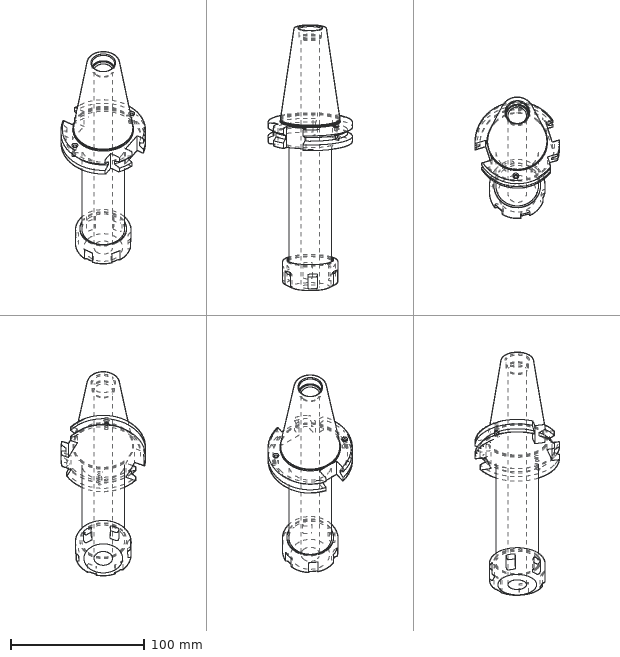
import cadquery as cq
import math

GAUGE_DIAMETER = 44.45
TAPER_LENGTH = 68.4
TAPER_RATIO = 7 / 24
GAUGE_RADIUS = GAUGE_DIAMETER / 2
TIP_RADIUS = GAUGE_RADIUS - TAPER_LENGTH * TAPER_RATIO / 2
TIP_ROUND = 1.0

NECK_RADIUS = 22.15
NECK_TOP = -1.4
NECK_BEVEL = 0.6

FLANGE_RADIUS = 63.55 / 2
FLANGE_TOP = -3.2
FLANGE_BOTTOM = -19.1
FLANGE_ROUND = 1.0
GROOVE_CENTER = -11.1
GROOVE_ROOT_RADIUS = 56.25 / 2
GROOVE_MOUTH_HALF = 3.5
GROOVE_HALF_ANGLE = 30.0

SLOT_WIDTH = 16.1
LEFT_SLOT_FLOOR = 22.3
RIGHT_SLOT_FLOOR = 25.0
NOTCH_OFFSET = 18.2

COOLANT_CIRCLE_RADIUS = 27.0
COOLANT_ANGLES = (70.5, 250.5)
COOLANT_DIAMETER = 2.6
COOLANT_MOUTH_DIAMETER = 4.4
COOLANT_SINK_DEPTH = 0.9
COOLANT_DEPTH = 3.0
COOLANT_MOUTH_CLEARANCE = 2.0

SHANK_RADIUS = 16.0
SHANK_FILLET = 5.0

NUT_BOTTOM = -130.0
NUT_HEIGHT = 20.6
NUT_TOP = NUT_BOTTOM + NUT_HEIGHT
NUT_RADIUS = 21.0
NUT_TOP_ROUND = 2.2
NUT_FACE_RADIUS = 14.5
NUT_CONE_HEIGHT = 3.5
NUT_CONE_ROUND = 2.0
NUT_RECESS_RADIUS = 17.5
NUT_RECESS_DEPTH = 1.0

SPANNER_SLOT_COUNT = 6
SPANNER_FIRST_ANGLE = 30.0
SPANNER_SLOT_WIDTH = 7.0
SPANNER_FLOOR_FILLET = 1.2
SPANNER_SLOT_FLOOR = 18.5
SPANNER_SLOT_HEIGHT = 14.2

TALL_SLOT_INDEX = 2
TALL_SLOT_EXTRA = 1.75

SPANNER_RUNOUT = 3.0
SPANNER_CLEARANCE = 1.0

BORE_DIAMETER = 13.8
COUNTERBORE_DIAMETER = 17.0
COUNTERBORE_DEPTH = 6.5
STEP_DIAMETER = 16.0
STEP_DEPTH = 0.8
COUNTERBORE_CHAMFER = 0.75
BORE_CHAMFER = 1.0

SELECT_MARGIN = 0.01


def revolve(points):
    """Revolve a closed (radius, Z) polygon about the Z axis."""
    return cq.Workplane("XZ").polyline(points).close().revolve(360, (0, 0), (0, 1))


def make_taper():
    neck_joint = GAUGE_RADIUS - NECK_TOP * TAPER_RATIO / 2
    return revolve([
        (0, FLANGE_BOTTOM),
        (NECK_RADIUS + NECK_BEVEL, FLANGE_BOTTOM),
        (NECK_RADIUS + NECK_BEVEL, FLANGE_TOP),
        (NECK_RADIUS, FLANGE_TOP + NECK_BEVEL),
        (NECK_RADIUS, NECK_TOP - NECK_BEVEL),
        (neck_joint, NECK_TOP),
        (TIP_RADIUS, TAPER_LENGTH),
        (0, TAPER_LENGTH),
    ]).faces(">Z").edges().fillet(TIP_ROUND)


def make_flange():
    height = FLANGE_TOP - FLANGE_BOTTOM
    flange = cq.Workplane("XY", origin=(0, 0, FLANGE_BOTTOM)).circle(FLANGE_RADIUS).extrude(height)
    flange = flange.faces("<Z or >Z").edges().fillet(FLANGE_ROUND)
    depth = FLANGE_RADIUS - GROOVE_ROOT_RADIUS
    root_half = GROOVE_MOUTH_HALF - depth * math.tan(math.radians(GROOVE_HALF_ANGLE))
    groove = revolve([
        (GROOVE_ROOT_RADIUS, GROOVE_CENTER - root_half),
        (FLANGE_RADIUS, GROOVE_CENTER - GROOVE_MOUTH_HALF),
        (FLANGE_RADIUS, GROOVE_CENTER + GROOVE_MOUTH_HALF),
        (GROOVE_ROOT_RADIUS, GROOVE_CENTER + root_half),
    ])
    return flange.cut(groove)


def flange_box(x_min, x_max, y_min, y_max):
    """Box over the full height of the flange and of the neck above it."""
    return (
        cq.Workplane("XY", origin=(0, 0, FLANGE_BOTTOM))
        .rect(x_max - x_min, y_max - y_min)
        .extrude(NECK_TOP - FLANGE_BOTTOM)
        .translate(((x_min + x_max) / 2, (y_min + y_max) / 2, 0))
    )


def cut_flange_slots(body):
    half = SLOT_WIDTH / 2
    left_slot = flange_box(-FLANGE_RADIUS, -LEFT_SLOT_FLOOR, -half, half)
    right_slot = flange_box(RIGHT_SLOT_FLOOR, FLANGE_RADIUS, -half, half)
    notch = flange_box(NOTCH_OFFSET, FLANGE_RADIUS, -FLANGE_RADIUS, -NOTCH_OFFSET)
    return body.cut(left_slot).cut(right_slot).cut(notch)


def make_countersunk_hole():
    """Blind countersunk hole going down from the origin, with clearance above its mouth."""
    mouth = COOLANT_MOUTH_DIAMETER / 2
    hole = COOLANT_DIAMETER / 2
    return revolve([
        (0, COOLANT_MOUTH_CLEARANCE),
        (mouth, COOLANT_MOUTH_CLEARANCE),
        (mouth, 0),
        (hole, -COOLANT_SINK_DEPTH),
        (hole, -COOLANT_DEPTH),
        (0, -COOLANT_DEPTH),
    ])


def make_coolant_cut(angle):
    """Axial hole in the flange top and radial hole in the groove root at one angle."""
    axial = make_countersunk_hole().translate((COOLANT_CIRCLE_RADIUS, 0, FLANGE_TOP))
    radial = (
        make_countersunk_hole()
        .rotate((0, 0, 0), (0, 1, 0), 90)
        .translate((GROOVE_ROOT_RADIUS, 0, GROOVE_CENTER))
    )
    return axial.union(radial).rotate((0, 0, 0), (0, 0, 1), angle)


def make_shank():
    """Shank from the flange down into the nut, ending above the nut cone."""
    end = NUT_BOTTOM + NUT_CONE_HEIGHT
    return (
        cq.Workplane("XZ")
        .moveTo(0, end)
        .lineTo(SHANK_RADIUS, end)
        .lineTo(SHANK_RADIUS, FLANGE_BOTTOM - SHANK_FILLET)
        .radiusArc((SHANK_RADIUS + SHANK_FILLET, FLANGE_BOTTOM), SHANK_FILLET)
        .lineTo(0, FLANGE_BOTTOM)
        .close()
        .revolve(360, (0, 0), (0, 1))
    )


def make_spanner_slot(angle, height):
    """Slot open at the nut bottom with filleted floor corners; its upper end slopes outward."""
    outer = NUT_RADIUS + SPANNER_CLEARANCE
    top = NUT_BOTTOM + height
    return (
        cq.Workplane("XZ")
        .polyline([
            (SPANNER_SLOT_FLOOR, NUT_BOTTOM),
            (outer, NUT_BOTTOM),
            (outer, top),
            (NUT_RADIUS, top),
            (SPANNER_SLOT_FLOOR, top - SPANNER_RUNOUT),
        ])
        .close()
        .extrude(SPANNER_SLOT_WIDTH / 2, both=True)
        .edges("|Z")
        .edges("<X")
        .fillet(SPANNER_FLOOR_FILLET)
        .rotate((0, 0, 0), (0, 0, 1), angle)
    )


def make_nut():
    cone_top = NUT_BOTTOM + NUT_CONE_HEIGHT
    nut = revolve([
        (0, NUT_BOTTOM),
        (NUT_FACE_RADIUS, NUT_BOTTOM),
        (NUT_RADIUS, cone_top),
        (NUT_RADIUS, NUT_TOP),
        (0, NUT_TOP),
    ])
    nut = nut.faces(">Z").edges().fillet(NUT_TOP_ROUND)
    cone_edge = cq.selectors.BoxSelector(
        (-NUT_RADIUS, -NUT_RADIUS, cone_top - SELECT_MARGIN),
        (NUT_RADIUS, NUT_RADIUS, cone_top + SELECT_MARGIN),
    )
    nut = nut.edges(cone_edge).fillet(NUT_CONE_ROUND)
    recess = (
        cq.Workplane("XY", origin=(0, 0, NUT_TOP)).circle(NUT_RECESS_RADIUS).extrude(-NUT_RECESS_DEPTH)
    )
    nut = nut.cut(recess)
    for i in range(SPANNER_SLOT_COUNT):
        angle = SPANNER_FIRST_ANGLE + i * 360 / SPANNER_SLOT_COUNT
        height = SPANNER_SLOT_HEIGHT
        if i == TALL_SLOT_INDEX:
            height += TALL_SLOT_EXTRA
        nut = nut.cut(make_spanner_slot(angle, height))
    return nut


def make_bore():
    bore_radius = BORE_DIAMETER / 2
    step_radius = STEP_DIAMETER / 2
    counterbore_radius = COUNTERBORE_DIAMETER / 2
    ledge = TAPER_LENGTH - COUNTERBORE_DEPTH
    step_bottom = ledge - STEP_DEPTH
    return revolve([
        (0, NUT_BOTTOM),
        (bore_radius, NUT_BOTTOM),
        (bore_radius, step_bottom - BORE_CHAMFER),
        (step_radius, step_bottom),
        (step_radius, ledge),
        (counterbore_radius, ledge),
        (counterbore_radius, TAPER_LENGTH - COUNTERBORE_CHAMFER),
        (counterbore_radius + COUNTERBORE_CHAMFER, TAPER_LENGTH),
        (0, TAPER_LENGTH),
    ])


result = cut_flange_slots(make_taper().union(make_flange()))
for coolant_angle in COOLANT_ANGLES:
    result = result.cut(make_coolant_cut(coolant_angle))
result = result.union(make_shank()).union(make_nut()).cut(make_bore())